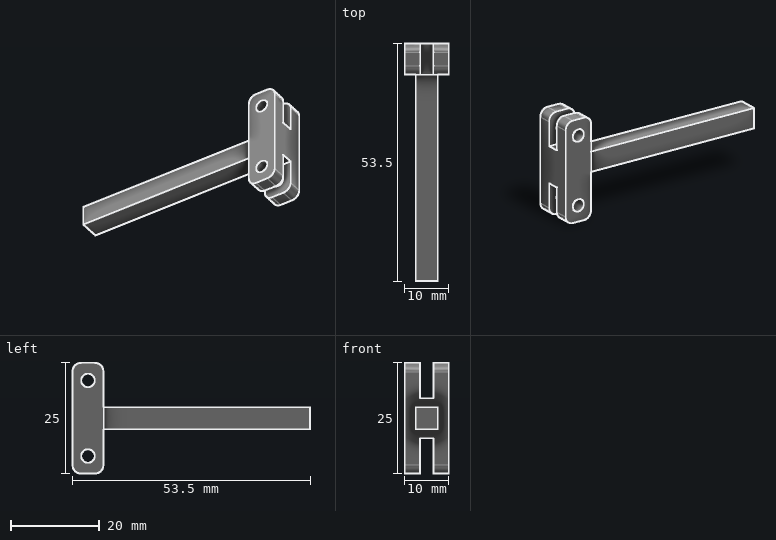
import cadquery as cq

total_length = 53.5
head_width = 10.0
head_depth = 7.0
head_height = 25.0

corner_radius = 2.0
slot_width = 3.0
slot_depth = 7.95
hole_diameter = 3.0
hole_spacing = 17.0

bar_side = 5.0
bar_length = total_length - head_depth


def make_head():
    """Block with its front face at Y = 0 and its four X-direction edges rounded."""
    block = cq.Workplane("XY").box(head_width, head_depth, head_height)
    return block.edges("|X").fillet(corner_radius).translate((0, head_depth / 2, 0))


def make_slot(side):
    """Open slot through the head along Y; side is +1 for the top, -1 for the bottom."""
    slot = cq.Workplane("XY").box(slot_width, head_depth, slot_depth)
    return slot.translate((0, head_depth / 2, side * (head_height - slot_depth) / 2))


def make_pin_hole(side):
    """Hole along X through both fork arms; side is +1 for the top, -1 for the bottom."""
    hole = cq.Workplane("YZ").circle(hole_diameter / 2).extrude(head_width / 2, both=True)
    return hole.translate((0, head_depth / 2, side * hole_spacing / 2))


def make_bar():
    """Square bar reaching from the head's front face toward -Y."""
    bar = cq.Workplane("XY").box(bar_side, bar_length, bar_side)
    return bar.translate((0, -bar_length / 2, 0))


head = make_head()
for end in (1, -1):
    head = head.cut(make_slot(end)).cut(make_pin_hole(end))

result = head.union(make_bar())